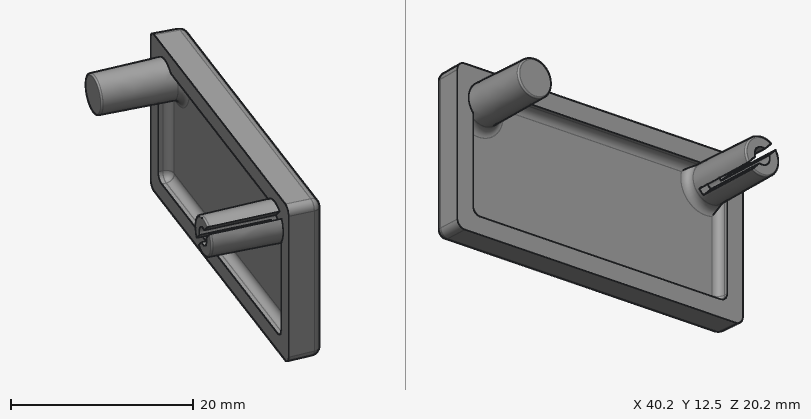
import cadquery as cq
import math

length = 40.2
height = 20.2
thickness = 4.0
edge_radius = 1.0
draft = 1.0

rim_width = 2.2
pocket_depth = 1.5
floor_fillet = 0.95

pin_length = 8.5
pin_tip_radius = 2.37
pin_tip_fillet = 0.2
pin_spacing = 32.0
pin_top_offset = 3.98
pin_x = pin_spacing / 2
pin_z = height / 2 - pin_top_offset

hole_diameter = 2.15
counterbore_diameter = 3.4
counterbore_depth = 1.0
slot_width = 0.85
slot_angle = 45.0


def front_plane(y, x=0.0, z=0.0):
    """XZ workplane at depth y; positive extrusion runs toward -Y."""
    return cq.Workplane("XZ", origin=(x, y, z))


def make_plate():
    """Drafted block with rounded corners and a rounded back edge."""
    plate = front_plane(0).rect(length, height).extrude(-thickness, taper=draft)
    plate = plate.edges("not(#Y)").edges("not(|X or |Z)").fillet(edge_radius)
    return plate.faces(">Y").edges().fillet(edge_radius)


def make_pocket():
    """Tool body of the recess, left square at the floor."""
    pocket = front_plane(0).rect(length - 2 * rim_width, height - 2 * rim_width)
    return pocket.extrude(-pocket_depth).edges("|Y").fillet(edge_radius)


def make_pin(x):
    """Tapered pin rooted in the pocket floor, with a rounded tip."""
    full_length = pin_length + pocket_depth
    root_radius = pin_tip_radius + full_length * math.tan(math.radians(draft))
    pin = front_plane(pocket_depth, x, pin_z).circle(root_radius).extrude(full_length, taper=draft)
    return pin.faces("<Y").edges().fillet(pin_tip_fillet)


def make_pin_slot(x):
    """Diagonal slot splitting the free length of a pin."""
    slot = front_plane(0, x, pin_z).rect(4 * pin_tip_radius, slot_width).extrude(pin_length)
    return slot.rotate((x, 0, pin_z), (x, -1, pin_z), slot_angle)


def make_pin_bore(x):
    """Through hole along a pin, counterbored from the back face."""
    hole = front_plane(thickness, x, pin_z).circle(hole_diameter / 2).extrude(thickness + pin_length)
    counterbore = front_plane(thickness, x, pin_z).circle(counterbore_diameter / 2)
    return hole.union(counterbore.extrude(counterbore_depth))


body = make_plate().cut(make_pocket())
for side in (-1, 1):
    body = body.union(make_pin(side * pin_x))

floor_face = body.faces(cq.selectors.NearestToPointSelector((0, pocket_depth, 0)))
body = floor_face.edges().fillet(floor_fillet)

result = body.cut(make_pin_slot(pin_x)).cut(make_pin_bore(pin_x))